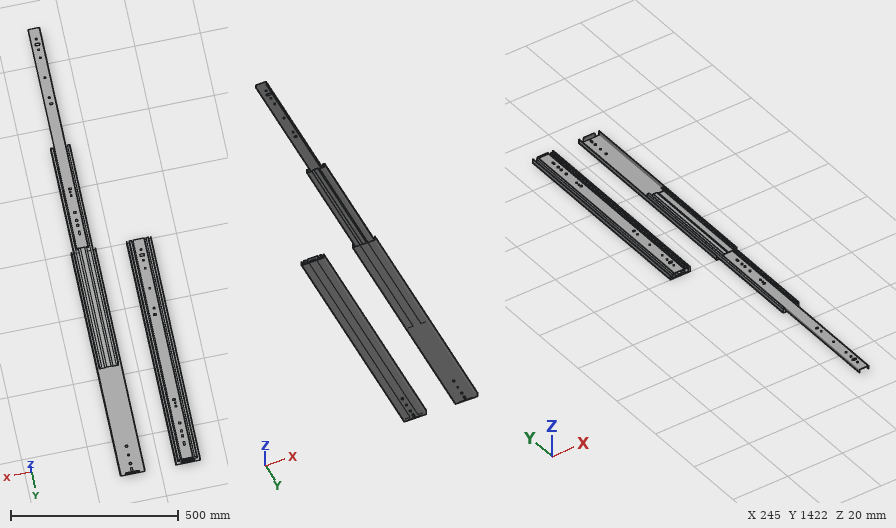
import cadquery as cq

total_width = 245.0
total_height = 20.0
travel = 711.0
insert_length = 703.0

sheet = 2.1
cut_depth = 2 * total_height

outer_length = 711.0
outer_width = 75.0
outer_height = 17.0
outer_corner_radius = 3.0
stop_width = 43.0
stop_corner_radius = 5.0

middle_width = 60.0
middle_base = 3.0
middle_top = 19.3
middle_corner_radius = 2.3
lip_opening = 44.0
rib_foot_width = 25.0
rib_top_width = 13.0
rib_rise = 4.0
middle_travel = 333.0

inner_width = 35.0
inner_base = 7.0
inner_corner_radius = 3.0

small_hole = 5.3
large_hole = 7.0
inner_small_holes = [536.0, 222.0, 158.0, 94.0, 68.0, 34.0]
inner_large_holes = [632.0, 616.0, 590.0]
inner_long_slot = 656.0
long_slot_length = 11.0
inner_relief_hole = 525.0
relief_hole_diameter = 4.0
inner_side_slots = [515.0, 242.0]
side_slot_length = 9.0
side_slot_offset = 1.0
inner_cross_slot = 51.0
cross_slot_length = 14.0
outer_small_hole = 651.0
outer_large_holes = [678.0, 623.0]
outer_end_slot = 698.0
outer_end_slot_length = 13.0

slide_center = (total_width - outer_width) / 2


def rail(profile, length, back):
    """Extrude an XZ profile forward (toward -Y) from its back end."""
    return profile.extrude(length).translate((0, back, 0))


def round_holes(diameter, positions):
    """Vertical cutters on the rail's center line."""
    points = [(0, y) for y in positions]
    return cq.Workplane("XY").pushPoints(points).circle(diameter / 2).extrude(cut_depth)


def slot(x, y, length, width, angle):
    """Vertical slot cutter; angle 0 runs across the rail and 90 along it."""
    return cq.Workplane("XY").center(x, y).slot2D(length, width, angle).extrude(cut_depth)


def channel(width, height, corner_radius):
    """XZ profile of an upright channel standing on Z = 0, with both bends rounded."""
    half = width / 2
    inner_radius = corner_radius - sheet
    return (
        cq.Workplane("XZ")
        .moveTo(-half, height)
        .lineTo(-half, corner_radius)
        .radiusArc((-half + corner_radius, 0), -corner_radius)
        .lineTo(half - corner_radius, 0)
        .radiusArc((half, corner_radius), -corner_radius)
        .lineTo(half, height)
        .lineTo(half - sheet, height)
        .lineTo(half - sheet, corner_radius)
        .radiusArc((half - corner_radius, sheet), inner_radius)
        .lineTo(-half + corner_radius, sheet)
        .radiusArc((-half + sheet, corner_radius), inner_radius)
        .lineTo(-half + sheet, height)
        .close()
    )


def make_outer():
    """Outer channel with its bent-up stop and fixing holes."""
    body = rail(channel(outer_width, outer_height, outer_corner_radius), outer_length, outer_length)
    stop = (
        cq.Workplane("XY")
        .box(stop_width, sheet, outer_height, centered=(True, False, False))
        .edges("|Y and >Z")
        .fillet(stop_corner_radius)
        .translate((0, outer_length - sheet, 0))
    )
    return (
        body.union(stop)
        .cut(round_holes(small_hole, [outer_small_hole]))
        .cut(round_holes(large_hole, outer_large_holes))
        .cut(slot(0, outer_end_slot, outer_end_slot_length, small_hole, 90))
    )


def make_middle():
    """Middle channel with inward lips and a rib pressed up from its web."""
    height = middle_top - middle_base
    body = rail(channel(middle_width, height, middle_corner_radius), insert_length, insert_length)
    half = middle_width / 2
    lip_length = half - lip_opening / 2
    for side in (-1, 1):
        lip_center = side * (half - lip_length / 2)
        lip = (
            cq.Workplane("XZ")
            .center(lip_center, height - sheet / 2)
            .rect(lip_length, sheet)
        )
        body = body.union(rail(lip, insert_length, insert_length))

    foot = rib_foot_width / 2
    top = rib_top_width / 2
    hollow = (
        cq.Workplane("XZ")
        .polyline([(-foot, 0), (-top, rib_rise), (top, rib_rise), (foot, 0)])
        .close()
    )
    rib = (
        cq.Workplane("XZ")
        .moveTo(-foot, 0)
        .lineTo(-foot, sheet)
        .lineTo(-top, rib_rise + sheet)
        .lineTo(top, rib_rise + sheet)
        .lineTo(foot, sheet)
        .lineTo(foot, 0)
        .close()
    )
    body = body.union(rail(rib, insert_length, insert_length))
    body = body.cut(rail(hollow, insert_length, insert_length))
    return body.translate((0, 0, middle_base))


def make_inner(hand):
    """Inner inverted channel; hand (+1 or -1) is the side to which its side slots reach."""
    height = total_height - inner_base
    profile = channel(inner_width, height, inner_corner_radius)
    body = rail(profile, insert_length, insert_length).mirror("XY").translate((0, 0, total_height))
    body = (
        body.cut(round_holes(small_hole, inner_small_holes))
        .cut(round_holes(large_hole, inner_large_holes))
        .cut(round_holes(relief_hole_diameter, [inner_relief_hole]))
        .cut(slot(0, inner_long_slot, long_slot_length, small_hole, 90))
        .cut(slot(0, inner_cross_slot, cross_slot_length, large_hole, 0))
    )
    for y in inner_side_slots:
        body = body.cut(slot(hand * side_slot_offset, y, side_slot_length, small_hole, 0))
    return body


slides = [(-slide_center, 1, 0), (slide_center, -1, 1)]
bodies = []
for center, hand, extension in slides:
    outer = make_outer().translate((center, 0, 0))
    middle = make_middle().translate((center, -extension * middle_travel, 0))
    inner = make_inner(hand).translate((center, -extension * travel, 0))
    bodies += [outer.val(), middle.val(), inner.val()]

result = cq.Compound.makeCompound(bodies)